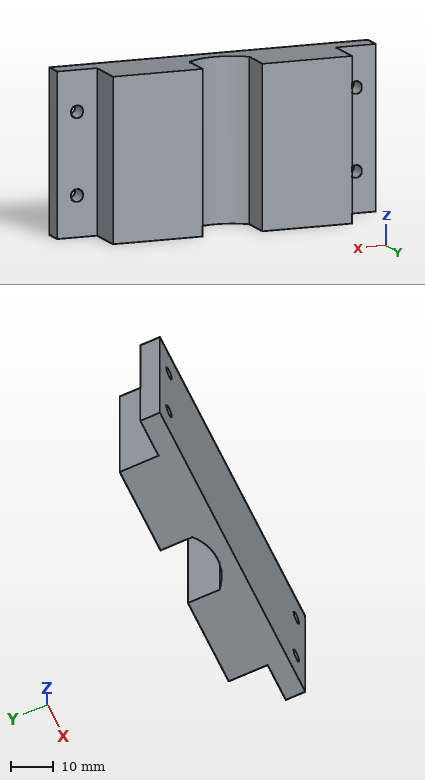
import cadquery as cq

length = 80.0
depth = 15.0
height = 40.0

flange_width = 10.0
block_depth = 10.0
plate_thickness = depth - block_depth
block_length = length - 2 * flange_width

channel_width = 15.0
channel_floor_y = 3.9
channel_wall_end_y = 6.9

hole_diameter = 3.0
hole_spacing_x = length - flange_width
hole_spacing_z = height / 2


def make_profile():
    """Plate, block and channel as one outline, extruded over the full height."""
    half_length = length / 2
    half_block = block_length / 2
    half_channel = channel_width / 2
    return (
        cq.Workplane("XY")
        .moveTo(-half_length, 0)
        .lineTo(half_length, 0)
        .lineTo(half_length, plate_thickness)
        .lineTo(half_block, plate_thickness)
        .lineTo(half_block, depth)
        .lineTo(half_channel, depth)
        .lineTo(half_channel, channel_wall_end_y)
        .threePointArc((0, channel_floor_y), (-half_channel, channel_wall_end_y))
        .lineTo(-half_channel, depth)
        .lineTo(-half_block, depth)
        .lineTo(-half_block, plate_thickness)
        .lineTo(-half_length, plate_thickness)
        .close()
        .extrude(height / 2, both=True)
    )


def make_hole_pins():
    """Four cylinders along +Y that cut the mounting holes."""
    return (
        cq.Workplane("XZ")
        .rect(hole_spacing_x, hole_spacing_z, forConstruction=True)
        .vertices()
        .circle(hole_diameter / 2)
        .extrude(-plate_thickness)
    )


result = make_profile().cut(make_hole_pins())